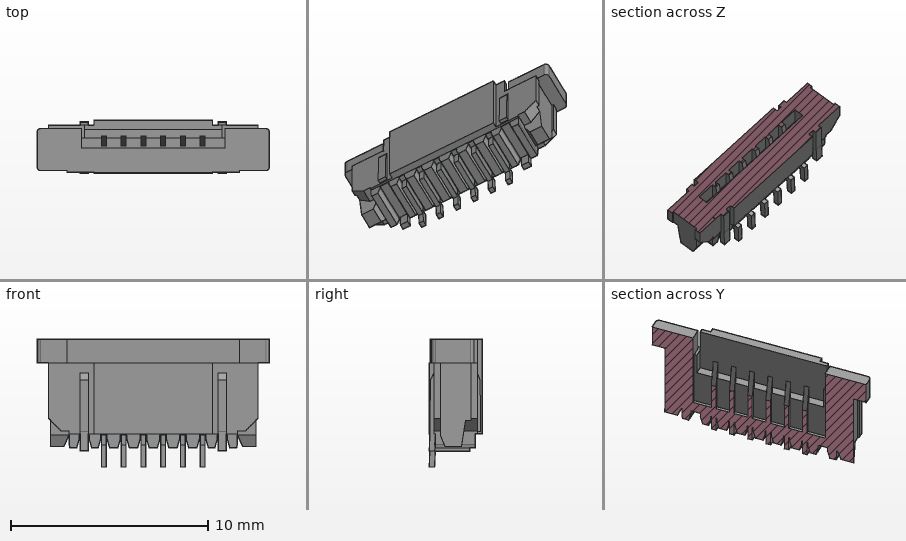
import cadquery as cq


FLANGE_LENGTH = 11.8
FLANGE_BOTTOM = -1.2
FLANGE_FRONT = 0.13
FLANGE_BACK = 2.28
FLANGE_CORNER_RADIUS = 0.19
FLANGE_STEP_LENGTH = 8.78
FLANGE_STEP_FRONT = 0.05

BODY_LENGTH = 10.64
BODY_FRONT = 0.25
BODY_BACK = 2.44
PLATE_THICKNESS = 0.32
PLATE_BOTTOM = -4.8
PLATE_CHAMFER_TOP = -4.02
PLATE_CORNER_BOTTOM = -4.67
PLATE_CHAMFER_LENGTH = 0.66
INNER_FRONT = BODY_FRONT + PLATE_THICKNESS
INNER_BACK = BODY_BACK - PLATE_THICKNESS
INNER_LENGTH = 10.43

PAD_LENGTH = 6.02
TOTAL_DEPTH = 2.7

LEG_INNER_X = 4.27
LEG_INNER_X_BOTTOM = 4.53
LEG_SHOULDER = -4.1
LEG_TAPER_TOP = -4.87
LEG_BOTTOM = -5.45
LEG_SHOULDER_BACK = 1.85
LEG_FRONT_BOTTOM = 0.8
LEG_BACK_BOTTOM = 1.64

TOOTH_FRONT = 0.32
TOOTH_BACK = 2.35
TOOTH_BOTTOM = -5.52
TOOTH_GAP_TOP = -4.87
TOOTH_TAPER_TOP = -5.07
TOOTH_TAPER = 0.13
ROW_CHAMFER_WIDTH = 0.04
ROW_CHAMFER_HEIGHT = 0.18

PIN_COUNT = 6
PIN_PITCH = 1.0
PIN_WIDTH = 0.26
PIN_GAP = 0.32
PIN_FOOT_FRONT = 0.35
PIN_TAIL_TOP = -5.38
PIN_FOOT_BOTTOM = -5.7
PIN_TIP = -6.5
PIN_FOOT_BACK = 2.06
LEAD_THICKNESS = 0.28
LEAD_LEAN = 0.04
pin_centers = [(i - (PIN_COUNT - 1) / 2) * PIN_PITCH for i in range(PIN_COUNT)]

TAB_CENTER_X = 3.5
TAB_WIDTH = 0.42
TAB_GAP = 0.5
TAB_TOP = -1.71
TAB_CHAMFER_BOTTOM = -2.06
TAB_BEND = -4.7
TAB_TIP = -5.68
TAB_UPPER_FRONT = 0.07
TAB_UPPER_BACK = 2.58
TAB_LOWER_BACK = 2.62

MOUTH_LENGTH = 7.27
MOUTH_FRONT = 1.29
SLOT_BACK = 1.78
SLOT_FLOOR = -4.25
RECESS_LENGTH = 6.99
RECESS_BACK = 2.22
RECESS_FLOOR = -2.36

BEAM_FRONT = 1.38
BEAM_BACK = 1.9
BEAM_TOP = -1.42


def box(length, y_front, y_back, z_bottom, z_top):
    """Block centred on X = 0."""
    return (
        cq.Workplane("XY", origin=(0, y_front, z_bottom))
        .box(length, y_back - y_front, z_top - z_bottom, centered=(True, False, False))
    )


def prism_along_x(points, x_center, width):
    """Extrude a (Y, Z) outline symmetrically about x_center."""
    return cq.Workplane("YZ", origin=(x_center, 0, 0)).polyline(points).close().extrude(width / 2, both=True)


def prism_along_y(points, y_front, y_back):
    """Extrude an (X, Z) outline from y_front to y_back."""
    return cq.Workplane("XZ", origin=(0, y_front, 0)).polyline(points).close().extrude(y_front - y_back)


def mirrored(shape):
    """The shape together with its mirror image about X = 0."""
    return shape.union(shape.mirror("YZ"))


def symmetric_outline(right_points):
    """Close an (X, Z) outline by mirroring its right half."""
    return right_points + [(-x, z) for x, z in reversed(right_points)]


def make_flange():
    collar = box(FLANGE_LENGTH, FLANGE_FRONT, FLANGE_BACK, FLANGE_BOTTOM, 0)
    collar = collar.edges("|Z").fillet(FLANGE_CORNER_RADIUS)
    collar = collar.union(box(FLANGE_STEP_LENGTH, FLANGE_STEP_FRONT, MOUTH_FRONT, FLANGE_BOTTOM, 0))
    return collar.cut(box(MOUTH_LENGTH, MOUTH_FRONT, TOTAL_DEPTH, FLANGE_BOTTOM, 0))


def make_plate(y_front, y_back):
    """Wall across the body with chamfered lower corners."""
    outline = symmetric_outline([
        (BODY_LENGTH / 2, FLANGE_BOTTOM),
        (BODY_LENGTH / 2, PLATE_CHAMFER_TOP),
        (BODY_LENGTH / 2 - PLATE_CHAMFER_LENGTH, PLATE_CORNER_BOTTOM),
        (LEG_INNER_X, PLATE_CORNER_BOTTOM),
        (LEG_INNER_X, PLATE_BOTTOM),
    ])
    return prism_along_y(outline, y_front, y_back)


def make_body():
    body = box(INNER_LENGTH, INNER_FRONT, INNER_BACK, LEG_SHOULDER, FLANGE_BOTTOM)
    body = body.union(box(2 * LEG_INNER_X, INNER_FRONT, INNER_BACK, PLATE_BOTTOM, LEG_SHOULDER))
    body = body.union(make_plate(BODY_FRONT, INNER_FRONT)).union(make_plate(INNER_BACK, BODY_BACK))
    below_shoulder = box(INNER_LENGTH, LEG_BACK_BOTTOM, INNER_BACK, PLATE_BOTTOM, LEG_SHOULDER)
    body = body.union(make_plate(LEG_BACK_BOTTOM, INNER_BACK).intersect(below_shoulder))
    body = body.union(box(PAD_LENGTH, 0, BODY_FRONT, PLATE_BOTTOM, FLANGE_BOTTOM))
    body = body.union(box(RECESS_LENGTH, RECESS_BACK, BODY_BACK, FLANGE_BOTTOM, 0))
    return body.union(box(PAD_LENGTH, BODY_BACK, TOTAL_DEPTH, PLATE_BOTTOM, 0))


def make_legs():
    side_profile = [
        (INNER_FRONT, LEG_SHOULDER),
        (INNER_FRONT, LEG_TAPER_TOP),
        (LEG_FRONT_BOTTOM, LEG_BOTTOM),
        (LEG_BACK_BOTTOM, LEG_BOTTOM),
        (LEG_SHOULDER_BACK, LEG_SHOULDER),
    ]
    front_profile = [
        (INNER_LENGTH / 2, LEG_SHOULDER),
        (INNER_LENGTH / 2, LEG_BOTTOM),
        (LEG_INNER_X_BOTTOM, LEG_BOTTOM),
        (LEG_INNER_X, LEG_TAPER_TOP),
        (LEG_INNER_X, LEG_SHOULDER),
    ]
    tapered_bar = prism_along_x(side_profile, 0, INNER_LENGTH)
    return mirrored(tapered_bar.intersect(prism_along_y(front_profile, 0, TOTAL_DEPTH)))


def make_tooth_gap(x_center, width):
    """Gap between two teeth: straight at its top, flaring towards the tooth tips."""
    half = width / 2
    outline = [
        (-half, TOOTH_GAP_TOP),
        (-half, TOOTH_TAPER_TOP),
        (-half - TOOTH_TAPER, TOOTH_BOTTOM),
        (half + TOOTH_TAPER, TOOTH_BOTTOM),
        (half, TOOTH_TAPER_TOP),
        (half, TOOTH_GAP_TOP),
    ]
    return prism_along_y(outline, TOOTH_FRONT, TOOTH_BACK).translate((x_center, 0, 0))


def make_teeth():
    outline = symmetric_outline([
        (LEG_INNER_X, PLATE_BOTTOM),
        (LEG_INNER_X, TOOTH_BOTTOM + ROW_CHAMFER_HEIGHT),
        (LEG_INNER_X - ROW_CHAMFER_WIDTH, TOOTH_BOTTOM),
    ])
    teeth = prism_along_y(outline, TOOTH_FRONT, TOOTH_BACK)
    for x in pin_centers:
        teeth = teeth.cut(make_tooth_gap(x, PIN_GAP))
    for x in (-TAB_CENTER_X, TAB_CENTER_X):
        teeth = teeth.cut(make_tooth_gap(x, TAB_GAP))
    return teeth


def make_mouth_cut():
    slot = box(MOUTH_LENGTH, MOUTH_FRONT, SLOT_BACK, SLOT_FLOOR, 0)
    return slot.union(box(RECESS_LENGTH, SLOT_BACK, RECESS_BACK, RECESS_FLOOR, 0))


def make_beam(x_center):
    """Contact beam sloping from the slot floor up over the recess floor."""
    profile = [
        (BEAM_FRONT, SLOT_FLOOR),
        (BEAM_BACK, SLOT_FLOOR),
        (BEAM_BACK, BEAM_TOP),
    ]
    return prism_along_x(profile, x_center, PIN_WIDTH)


def make_pin(x_center):
    """Foot running under the body with a slightly leaning tail at its front end."""
    profile = [
        (PIN_FOOT_BACK, TOOTH_GAP_TOP),
        (PIN_FOOT_FRONT, TOOTH_GAP_TOP),
        (PIN_FOOT_FRONT, PIN_TAIL_TOP),
        (LEAD_LEAN, PIN_TAIL_TOP),
        (0, PIN_TIP),
        (LEAD_THICKNESS, PIN_TIP),
        (LEAD_THICKNESS + LEAD_LEAN, PIN_FOOT_BOTTOM),
        (PIN_FOOT_BACK, PIN_FOOT_BOTTOM),
    ]
    return prism_along_x(profile, x_center, PIN_WIDTH)


def make_tabs():
    front_profile = [
        (BODY_FRONT, TAB_TOP),
        (TAB_UPPER_FRONT, TAB_CHAMFER_BOTTOM),
        (LEAD_LEAN, TAB_BEND),
        (0, TAB_TIP),
        (LEAD_THICKNESS, TAB_TIP),
        (LEAD_THICKNESS + LEAD_LEAN, TAB_BEND),
    ]
    back_profile = [
        (BODY_BACK, TAB_TOP),
        (TAB_UPPER_BACK, TAB_CHAMFER_BOTTOM),
        (TAB_LOWER_BACK, TAB_BEND),
        (BODY_BACK, TAB_BEND),
    ]
    front_tab = prism_along_x(front_profile, TAB_CENTER_X, TAB_WIDTH)
    back_tab = prism_along_x(back_profile, TAB_CENTER_X, TAB_WIDTH)
    return mirrored(front_tab.union(back_tab))


result = make_flange().union(make_body()).union(make_legs()).union(make_teeth())
result = result.cut(make_mouth_cut())
for pin_x in pin_centers:
    result = result.union(make_beam(pin_x)).union(make_pin(pin_x))
result = result.union(make_tabs())